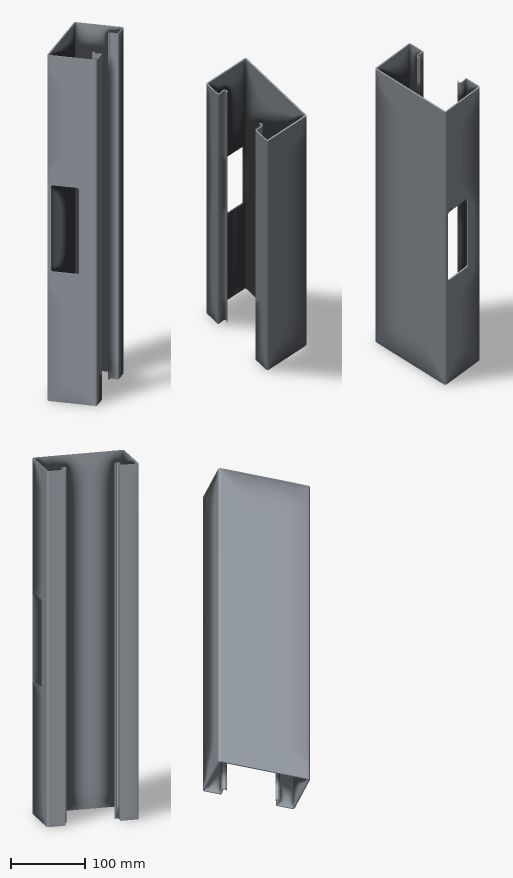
import cadquery as cq

width = 70.0
depth = 130.0
length = 500.0

wall = 2.0
bend_radius = 3.0
inner_bend_radius = bend_radius - wall

flange_width = 26.2
flange_thickness = 1.5

lip_thickness = 1.5
lip_bend_radius = 1.4
step_start = 5.0
step_end = 6.5
step_height = 0.6
slope_start = 11.5
nose_reach = 13.8
nose_drop = 2.5
hook_reach = 12.2
hook_drop = 5.2

cut_depth = 4 * wall

window_width = 39.5
window_height = 125.0
window_offset = 5.5
window_corner_radius = 3.0


def rounded_bar(size_x, size_y, corner_radius):
    """Full-length bar with its four long edges rounded."""
    return cq.Workplane("XY").box(size_x, size_y, length).edges("|Z").fillet(corner_radius)


def channel():
    """Rectangular tube with rounded bends, opened on the +X side between the flanges."""
    outer = rounded_bar(width, depth, bend_radius)
    inner = rounded_bar(width - wall - flange_thickness, depth - 2 * wall, inner_bend_radius)
    inner = inner.translate(((wall - flange_thickness) / 2, 0, 0))
    mouth = (
        cq.Workplane("XY")
        .center(width / 2, 0)
        .box(cut_depth, depth - 2 * flange_width, length)
    )
    return outer.cut(inner).cut(mouth)


def clip_lip():
    """Lip of the +Y flange: runs inward, steps up, then bends around a nose to a hook."""
    front = width / 2
    root_y = depth / 2 - flange_width + lip_thickness / 2
    raised_y = root_y + step_height
    center_line = [
        (front - flange_thickness / 2, root_y),
        (front - step_start, root_y),
        (front - step_end, raised_y),
        (front - slope_start, raised_y),
        (front - nose_reach, raised_y - nose_drop),
        (front - hook_reach, raised_y - hook_drop),
    ]
    strip = cq.Workplane("XY", origin=(0, 0, -length / 2)).polyline(center_line)
    return strip.offset2D(lip_thickness / 2).extrude(length)


def window():
    """Rounded rectangular opening through the -Y wall."""
    center_x = -width / 2 + window_offset + window_width / 2
    return (
        cq.Workplane("XY")
        .box(window_width, cut_depth, window_height)
        .edges("|Y")
        .fillet(window_corner_radius)
        .translate((center_x, -depth / 2, 0))
    )


def lip_bend_corner(body):
    """Round the outer edge where each lip leaves its flange."""
    edge_y = depth / 2 - flange_width
    for side in (1, -1):
        corner = cq.selectors.NearestToPointSelector((width / 2, side * edge_y, 0))
        body = body.edges("|Z").edges(corner).fillet(lip_bend_radius)
    return body


lip = clip_lip()
profile = channel().union(lip).union(lip.mirror("XZ"))
result = lip_bend_corner(profile).cut(window())